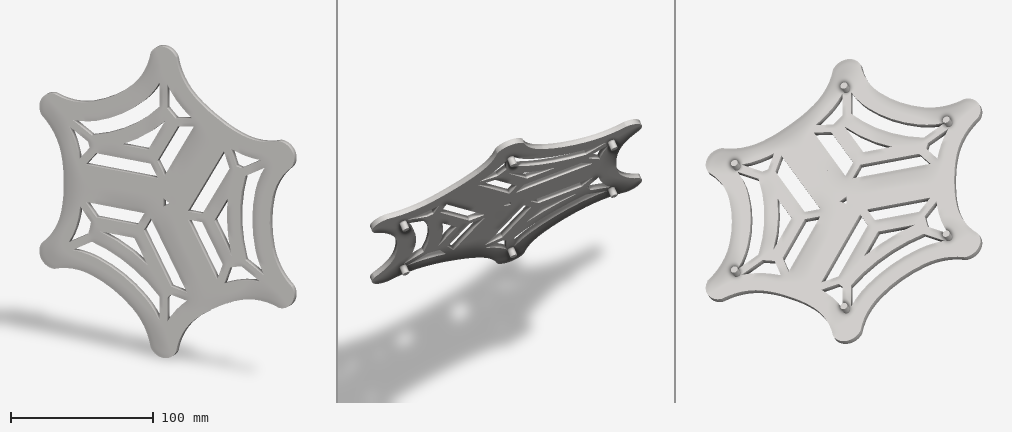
import cadquery as cq
import math


height = 232.0
total_depth = 10.0
plate_thickness = 4.0
lap_thickness = plate_thickness / 2
lap_width = 6.3
segment_count = 3

point_count = 6
sector_angle = 360 / point_count
tip_radius = 11.4
tip_distance = height / 2 - lap_width / 2 - tip_radius
scallop_distance = 167.0
scallop_radius = 87.2
scallop_end_radius = 46.8
joint_offset = 18.8
seam_length = scallop_distance - scallop_radius

border = 14.0
rib_width = 6.0
half_rib = rib_width / 2
seam_slot_far = 24.0
core_margin = 33.9
ring_outer_radius = 111.3
ring_inner_radius = 121.5
brace_foot = 77.7
brace_angle = 50.0

pin_diameter = 5.0
pin_distance = 87.7

tongue_seam_angle = 180.0
ledge_seam_angle = 60.0
middle_angle = (tongue_seam_angle + ledge_seam_angle) / 2
tip_angles = (middle_angle - sector_angle / 2, middle_angle + sector_angle / 2)
half_segment_angle = math.radians((tongue_seam_angle - ledge_seam_angle) / 2)
brace_slope = math.radians(brace_angle)


def polar(distance, degrees):
    angle = math.radians(degrees)
    return (distance * math.cos(angle), distance * math.sin(angle))


def toward(start, end, distance):
    """Point at a distance from start, on the line through end."""
    scale = distance / math.dist(start, end)
    return (start[0] + (end[0] - start[0]) * scale, start[1] + (end[1] - start[1]) * scale)


def plate_sketch():
    return cq.Workplane("XZ")


def plate_prism(sketch):
    return sketch.extrude(-plate_thickness)



def scallop_joint(axis_angle, side):
    """Point where the shallow arc turns into an end arc; side is -1 or +1."""
    inward = math.sqrt(scallop_radius**2 - joint_offset**2)
    bearing = math.atan2(side * joint_offset, scallop_distance - inward)
    return polar(math.hypot(scallop_distance - inward, joint_offset), axis_angle + math.degrees(bearing))


def scallop_end_center(axis_angle, side):
    """Centre of an end arc, placed so that the arc continues the shallow arc smoothly."""
    joint = scallop_joint(axis_angle, side)
    return toward(joint, polar(scallop_distance, axis_angle), scallop_end_radius)


def tip_corner(axis_angle, side):
    """Point where an end arc runs into the rounded tip."""
    end_center = scallop_end_center(axis_angle, side)
    tip_center = polar(tip_distance, axis_angle + side * sector_angle / 2)
    span = math.dist(tip_center, end_center)
    along = (span**2 + tip_radius**2 - scallop_end_radius**2) / (2 * span)
    across = side * math.sqrt(tip_radius**2 - along**2)
    foot = toward(tip_center, end_center, along)
    unit_x = (end_center[0] - tip_center[0]) / span
    unit_z = (end_center[1] - tip_center[1]) / span
    return (foot[0] - across * unit_z, foot[1] + across * unit_x)


def arc_middle(center, radius, start, end):
    """Middle of the short arc from start to end."""
    chord_middle = ((start[0] + end[0]) / 2, (start[1] + end[1]) / 2)
    return toward(center, chord_middle, radius)


def add_end_arc(sketch, center, start, end):
    return sketch.threePointArc(arc_middle(center, scallop_end_radius, start, end), end)


def web_outline():
    """Closed six-pointed outline around the hub."""
    start = tip_corner(0, -1)
    sketch = plate_sketch().moveTo(*start)
    for i in range(point_count):
        axis_angle = i * sector_angle
        next_tip_angle = axis_angle + sector_angle / 2
        near_joint = scallop_joint(axis_angle, -1)
        far_joint = scallop_joint(axis_angle, 1)
        tip_start = tip_corner(axis_angle, 1)
        tip_end = tip_corner(axis_angle + sector_angle, -1)
        sketch = add_end_arc(sketch, scallop_end_center(axis_angle, -1), start, near_joint)
        sketch = sketch.threePointArc(polar(seam_length, axis_angle), far_joint)
        sketch = add_end_arc(sketch, scallop_end_center(axis_angle, 1), far_joint, tip_start)
        sketch = sketch.threePointArc(polar(tip_distance + tip_radius, next_tip_angle), tip_end)
        start = tip_end
    return sketch.close()



def seam_point(seam_angle, along, inward):
    """Point by its distance along a seam from the hub and its distance from the seam into the segment."""
    on_ledge = seam_angle == ledge_seam_angle
    inward_angle = seam_angle + 90 if on_ledge else seam_angle - 90
    depth = inward - lap_width if on_ledge else inward
    x1, z1 = polar(along, seam_angle)
    x2, z2 = polar(depth, inward_angle)
    return (x1 + x2, z1 + z2)


def middle_along(seam_angle, inward, side_shift):
    """Distance along a seam of a line parallel to the middle rib, shifted outward from its centre line."""
    if seam_angle == ledge_seam_angle:
        apex = lap_width / math.tan(half_segment_angle)
    else:
        apex = -lap_width / math.sin(half_segment_angle)
    return apex + inward / math.tan(half_segment_angle) + side_shift / math.sin(half_segment_angle)


def brace_along(inward, side_shift):
    """Distance along a seam of a line parallel to the brace, shifted outward from its centre line."""
    return brace_foot - inward / math.tan(brace_slope) + side_shift / math.sin(brace_slope)


def prism(points):
    return plate_prism(plate_sketch().polyline(points).close())


def ring_disc(axis_angle, radius):
    return plate_prism(plate_sketch().pushPoints([polar(scallop_distance, axis_angle)]).circle(radius))



def seam_strip(seam_angle, back_face):
    """Half-thickness lap strip along a seam, on the outer side of the hub's sector."""
    inward_near, inward_far = (0.0, lap_width) if seam_angle == ledge_seam_angle else (-lap_width, 0.0)
    corners = [
        seam_point(seam_angle, 0, inward_near),
        seam_point(seam_angle, seam_length, inward_near),
        seam_point(seam_angle, seam_length, inward_far),
        seam_point(seam_angle, 0, inward_far),
    ]
    strip = plate_sketch().polyline(corners).close().extrude(-lap_thickness)
    return strip.translate((0, lap_thickness, 0)) if back_face else strip


def blank_segment():
    """120-degree sector of the web, with a ledge at the front and a tongue at the rear."""
    sector_corners = [
        (0, 0),
        polar(height, ledge_seam_angle),
        polar(height, middle_angle),
        polar(height, tongue_seam_angle),
    ]
    sector = plate_prism(web_outline()).intersect(prism(sector_corners))
    ledge = seam_strip(ledge_seam_angle, back_face=False)
    tongue = seam_strip(tongue_seam_angle, back_face=True)
    return sector.union(ledge).union(tongue)



def outer_windows():
    """Three windows between the border and the scalloped ring, parted by the spokes and braces."""
    opening = plate_prism(web_outline().offset2D(-border))
    beyond_braces = prism([
        (0, 0),
        seam_point(ledge_seam_angle, brace_along(core_margin, half_rib), core_margin),
        seam_point(ledge_seam_angle, brace_along(0, half_rib), 0),
        polar(height, ledge_seam_angle),
        polar(height, middle_angle),
        polar(height, tongue_seam_angle),
        seam_point(tongue_seam_angle, brace_along(0, half_rib), 0),
        seam_point(tongue_seam_angle, brace_along(core_margin, half_rib), core_margin),
    ])
    windows = []
    for axis_angle in (ledge_seam_angle, middle_angle, tongue_seam_angle):
        beyond_ring = ring_disc(axis_angle, ring_outer_radius)
        apex = polar(half_rib / math.sin(math.radians(sector_angle / 2)), axis_angle)
        left = polar(height, axis_angle + sector_angle / 2)
        right = polar(height, axis_angle - sector_angle / 2)
        between_spokes = prism([
            apex,
            (apex[0] + right[0], apex[1] + right[1]),
            (apex[0] + left[0], apex[1] + left[1]),
        ])
        windows.append(opening.intersect(beyond_ring).intersect(between_spokes).intersect(beyond_braces))
    return windows


def seam_slot(seam_angle):
    """Slot along a seam, from the middle rib to the brace."""
    corners = [
        seam_point(seam_angle, middle_along(seam_angle, border, half_rib), border),
        seam_point(seam_angle, brace_along(border, -half_rib), border),
        seam_point(seam_angle, brace_along(seam_slot_far, -half_rib), seam_slot_far),
        seam_point(seam_angle, middle_along(seam_angle, seam_slot_far, half_rib), seam_slot_far),
    ]
    return prism(corners)


def core_window():
    """Triangular window between the two seam slots and the scalloped ring."""
    corners = [
        seam_point(tongue_seam_angle, seam_length, core_margin),
        seam_point(tongue_seam_angle, middle_along(tongue_seam_angle, core_margin, 0), core_margin),
        seam_point(ledge_seam_angle, seam_length, core_margin),
    ]
    return prism(corners).cut(ring_disc(middle_angle, ring_inner_radius))



def pins():
    """Rear pins, one on each arm of the segment."""
    arms = [polar(pin_distance, angle) for angle in tip_angles]
    return plate_sketch().pushPoints(arms).circle(pin_diameter / 2).extrude(-total_depth)



def segment():
    body = blank_segment()
    windows = outer_windows() + [seam_slot(tongue_seam_angle), seam_slot(ledge_seam_angle), core_window()]
    for window in windows:
        body = body.cut(window)
    return body.union(pins()).solids()


hub_offset = (-lap_width / (2 * math.sqrt(3)), 0, lap_width / 2)
placed_segment = segment().translate(hub_offset)
segments = []
for index in range(segment_count):
    turn = index * 360 / segment_count
    segments.append(placed_segment.rotate((0, 0, 0), (0, -1, 0), turn).val())

result = cq.Compound.makeCompound(segments)